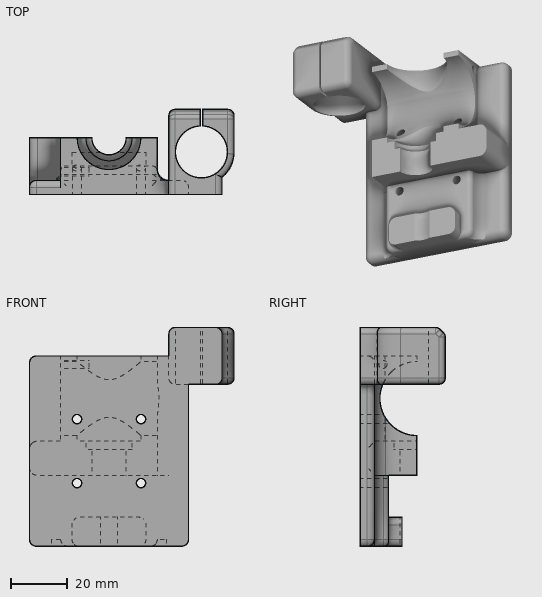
import cadquery as cq
import math

tolerance = 0.001

plate_width = 56.0
plate_height = 67.0
plate_thickness = 5.0
plate_round = 2.5

housing_left = 11.0
housing_right = 45.0
housing_depth = 20.0
housing_bottom = 25.0
web_radius = 4.0

wing_height = 12.0
wing_round = 2.8

bore_x = (housing_left + housing_right) / 2
neck_radius = 6.0
collar_radius = 8.15
collar_depth = 3.0
heatsink_radius = 11.2
heatsink_floor = housing_bottom + wing_height

duct_radius = 13.0
duct_z = 52.0
fan_screw_diameter = 2.9
fan_screw_offset = 12.0
fan_screw_depth = 10.0

rib_top = 10.0
rib_root_radius = 3.3
rib_crest_radius = rib_top - plate_thickness - rib_root_radius
foot_inset = 4.0
foot_left = housing_left + foot_inset
foot_right = housing_right - foot_inset
foot_depth = 14.8
foot_height = 10.3

clamp_left = housing_right + web_radius
clamp_right = 71.99
clamp_depth = 30.0
clamp_bottom = 57.0
clamp_top = 77.0
clamp_round = 2.25
clamp_chamfer = 2.5
clamp_neck_right = 67.75
rod_x = (clamp_left + clamp_right) / 2
rod_y = clamp_depth / 2
rod_radius = 9.1
clamp_wall_radius = 11.52
slit_width = 0.8

mount_diameter = 3.2
mount_spacing = 22.5


def box_between(x0, x1, y0, y1, z0, z1):
    """Axis-aligned block between the given limits."""
    return cq.Workplane("XY").box(x1 - x0, y1 - y0, z1 - z0, centered=False).translate((x0, y0, z0))


def upright_cylinder(x, y, radius, z0, z1):
    return cq.Workplane("XY", origin=(x, y, z0)).circle(radius).extrude(z1 - z0)


def make_rib():
    """Rib with rounded crest and lower corners; its root fillet is trimmed to the plate outline."""
    rib_base = plate_thickness / 2
    back_wall = box_between(
        -plate_width, 2 * plate_width, rib_base, plate_thickness, -plate_height, plate_height
    )
    rib = box_between(housing_left, housing_right, rib_base, rib_top, 0, heatsink_floor)
    rib = rib.edges("|Y").fillet(plate_round)
    rib = rib.faces(">Y").edges().fillet(rib_crest_radius)
    root_plane = cq.selectors.BoxSelector(
        (0, plate_thickness - tolerance, -tolerance),
        (plate_width, plate_thickness + tolerance, plate_height - tolerance),
    )
    rib = back_wall.union(rib).edges(root_plane).fillet(rib_root_radius - tolerance)
    return rib.intersect(box_between(0, plate_width, plate_thickness, rib_top, 0, housing_bottom))


def make_rib_core():
    """Block that joins the rib to the plate through the rounded lower edge of the plate."""
    core = box_between(housing_left, housing_right, 0, plate_thickness, 0, housing_bottom)
    return core.edges("|Y and <Z").fillet(plate_round)


def make_foot():
    foot = box_between(foot_left, foot_right, 0, foot_depth, 0, foot_height)
    foot = foot.edges("|Y and >Z").fillet(wing_round)
    return foot.edges("|Y and <Z").fillet(plate_round)


def make_base():
    """Plate with the rib and the foot block on its back."""
    plate = box_between(0, plate_width, 0, plate_thickness, 0, plate_height)
    plate = plate.edges("|Y").fillet(plate_round)
    plate = plate.faces(">Y").edges().fillet(plate_round - tolerance)
    return plate.union(make_rib_core()).union(make_rib()).union(make_foot())


def make_housing():
    """Housing body with a concave web towards the clamp, plus the collar wing."""
    web_y = plate_thickness + web_radius
    bulge = web_radius * math.sqrt(0.5)
    body = (
        cq.Workplane("XY", origin=(0, 0, housing_bottom))
        .moveTo(housing_left, 0)
        .lineTo(clamp_left, 0)
        .lineTo(clamp_left, plate_thickness)
        .threePointArc((clamp_left - bulge, web_y - bulge), (housing_right, web_y))
        .lineTo(housing_right, housing_depth)
        .lineTo(housing_left, housing_depth)
        .close()
        .extrude(plate_height - housing_bottom)
    )
    wing = box_between(0, bore_x, 0, housing_depth, housing_bottom, heatsink_floor)
    wing = wing.edges("|Y and <X").fillet(wing_round)
    return body.union(wing)


def make_clamp():
    """Clamp block whose right side wraps around the rod bore, rounded except on its front."""
    neck_angle = -math.acos((clamp_neck_right - rod_x) / clamp_wall_radius)
    neck_y = rod_y + clamp_wall_radius * math.sin(neck_angle)
    side_angle = -math.acos((clamp_right - rod_x) / clamp_wall_radius)
    side_y = rod_y + clamp_wall_radius * math.sin(side_angle)
    mid_angle = (neck_angle + side_angle) / 2
    arc_mid = (
        rod_x + clamp_wall_radius * math.cos(mid_angle),
        rod_y + clamp_wall_radius * math.sin(mid_angle),
    )
    clamp = (
        cq.Workplane("XY", origin=(0, 0, clamp_bottom))
        .moveTo(clamp_left, 0)
        .lineTo(clamp_neck_right, 0)
        .lineTo(clamp_neck_right, neck_y)
        .threePointArc(arc_mid, (clamp_right, side_y))
        .lineTo(clamp_right, clamp_depth)
        .lineTo(clamp_left, clamp_depth)
        .close()
        .extrude(clamp_top - clamp_bottom)
    )
    clamp = clamp.edges(">Y and >Z").chamfer(clamp_chamfer)
    back_part = cq.selectors.BoxSelector(
        (clamp_left - tolerance, rod_y, clamp_bottom - tolerance),
        (clamp_right + tolerance, clamp_depth + tolerance, clamp_top + tolerance),
    )
    rims = cq.selectors.StringSyntaxSelector("(<Z or >Z) and (not <Y)")
    return clamp.edges(cq.selectors.SumSelector(back_part, rims)).fillet(clamp_round)


def hotend_cuts():
    """Stepped vertical bore, air duct and fan screw hole."""
    collar_floor = heatsink_floor - collar_depth
    bore = upright_cylinder(bore_x, housing_depth, neck_radius, 0, plate_height)
    collar = upright_cylinder(bore_x, housing_depth, collar_radius, collar_floor, plate_height)
    heatsink = upright_cylinder(bore_x, housing_depth, heatsink_radius, heatsink_floor, plate_height)
    duct = (
        cq.Workplane("YZ", origin=(housing_left, housing_depth, duct_z))
        .circle(duct_radius)
        .extrude(clamp_left - housing_left)
    )
    fan_screw = (
        cq.Workplane("YZ", origin=(housing_left, housing_depth - fan_screw_offset, duct_z + fan_screw_offset))
        .circle(fan_screw_diameter / 2)
        .extrude(fan_screw_depth)
    )
    return bore.union(collar).union(heatsink).union(duct).union(fan_screw)


def clamp_cuts():
    """Rod bore and the slit that opens it to the back."""
    rod = upright_cylinder(rod_x, rod_y, rod_radius, clamp_bottom, clamp_top)
    half_slit = slit_width / 2
    slit = box_between(rod_x - half_slit, rod_x + half_slit, rod_y, clamp_depth, clamp_bottom, clamp_top)
    return rod.union(slit)


def mount_holes():
    """Square pattern of screw holes centred on the plate, along Y."""
    return (
        cq.Workplane("XZ", origin=(plate_width / 2, 0, plate_height / 2))
        .rarray(mount_spacing, mount_spacing, 2, 2)
        .circle(mount_diameter / 2)
        .extrude(-housing_depth)
    )


body = make_base().union(make_housing()).cut(hotend_cuts())
result = body.union(make_clamp()).cut(clamp_cuts()).cut(mount_holes())